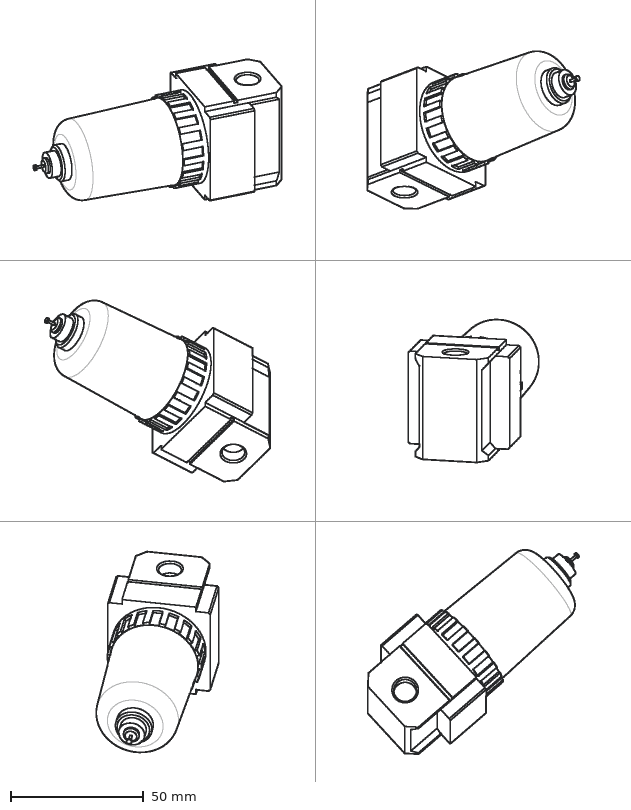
import cadquery as cq

overall_length = 96.7
wing_start = 14.9
head_end = 33.0
slot_start = 35.0
ring_end = 43.0
bowl_end = 84.2
collar_end = 87.8
spout_end = 91.4
tip_end = 92.9
pin_head_start = 96.0

head_height = 40.0
head_width = 28.3
head_corner_chamfer = 3.7
wing_width = 39.4
wing_height = 36.0
wing_edge_chamfer = 0.7

pocket_depth = 2.0
pocket_slope_height = 2.3

groove_start = 19.5
groove_width = 1.45
groove_depth = 1.0

port_position = 9.6
port_diameter = 8.6
port_rim_diameter = 10.0
port_depth = 5.0

ring_diameter = 36.0
slot_count = 18
slot_width = 3.7
slot_depth = 1.1

bowl_top_diameter = 33.6
bowl_bottom_diameter = 31.1
bowl_fillet = 5.0
collar_diameter = 14.0
collar_chamfer = 0.8
spout_diameter = 10.0
tip_diameter = 6.0
tip_chamfer = 0.8
pin_diameter = 1.0
pin_head_diameter = 2.0

full_turn = 360


def box_between(width, start, end, height):
    """Box centred on X and Z, running along -Y from start to end."""
    return cq.Workplane("XY").box(width, end - start, height).translate((0, -(start + end) / 2, 0))


def turned(diameter, start, end, end_diameter=None):
    """Cylinder or cone on the Y axis, running along -Y from start to end."""
    radius = diameter / 2
    end_radius = radius if end_diameter is None else end_diameter / 2
    profile = [(0, -start), (radius, -start), (end_radius, -end), (0, -end)]
    return cq.Workplane("XY").polyline(profile).close().revolve(full_turn, (0, 0), (0, 1))


def make_side_pocket():
    """Cutter for the +X pocket, with sloping upper and lower walls."""
    outer_x = head_width / 2
    floor_x = outer_x - pocket_depth
    mouth_z = wing_height / 2
    floor_z = mouth_z - pocket_slope_height
    profile = [(outer_x, mouth_z), (floor_x, floor_z), (floor_x, -floor_z), (outer_x, -mouth_z)]
    return cq.Workplane("XZ").polyline(profile).close().extrude(wing_start)


def make_port():
    """Cutter for the blind port in the top face, with a countersunk rim."""
    rim_depth = (port_rim_diameter - port_diameter) / 2
    top = head_height / 2
    rim = cq.Solid.makeCone(
        port_rim_diameter / 2, port_diameter / 2, rim_depth,
        cq.Vector(0, -port_position, top), cq.Vector(0, 0, -1),
    )
    bore = cq.Workplane("XY", origin=(0, -port_position, top)).circle(port_diameter / 2).extrude(-port_depth)
    return bore.union(cq.Workplane(rim))


def make_head():
    block = box_between(head_width, 0, head_end, head_height)
    block = block.edges("|Z and >Y").chamfer(head_corner_chamfer)
    pocket = make_side_pocket()
    block = block.cut(pocket).cut(pocket.mirror("YZ"))

    wings = box_between(wing_width, wing_start, head_end, wing_height)
    wings = wings.edges("|Y").chamfer(wing_edge_chamfer)
    head = block.union(wings)

    groove = box_between(wing_width, groove_start, groove_start + groove_width, groove_depth)
    groove = groove.translate((0, 0, (head_height - groove_depth) / 2))
    top_cut = groove.union(make_port())
    return head.cut(top_cut).cut(top_cut.mirror("XY"))


def make_ring():
    """Lock ring with evenly spaced grip slots, open toward the bowl."""
    ring = turned(ring_diameter, head_end, ring_end)
    blade = box_between(slot_width, slot_start, ring_end, ring_diameter)
    blade = blade.translate((0, 0, ring_diameter - slot_depth))
    for index in range(slot_count):
        angle = index * full_turn / slot_count
        ring = ring.cut(blade.rotate((0, 0, 0), (0, 1, 0), angle))
    return ring


def make_bowl():
    bowl = turned(bowl_top_diameter, ring_end, bowl_end, bowl_bottom_diameter)
    return bowl.edges("<Y").fillet(bowl_fillet)


def make_drain():
    collar = turned(collar_diameter, bowl_end, collar_end).edges("<Y").chamfer(collar_chamfer)
    spout = turned(spout_diameter, collar_end, spout_end)
    tip = turned(tip_diameter, spout_end, tip_end).edges("<Y").chamfer(tip_chamfer)
    pin = turned(pin_diameter, tip_end, pin_head_start)
    pin_head = turned(pin_head_diameter, pin_head_start, overall_length)
    return collar.union(spout).union(tip).union(pin).union(pin_head)


result = make_head().union(make_ring()).union(make_bowl()).union(make_drain())